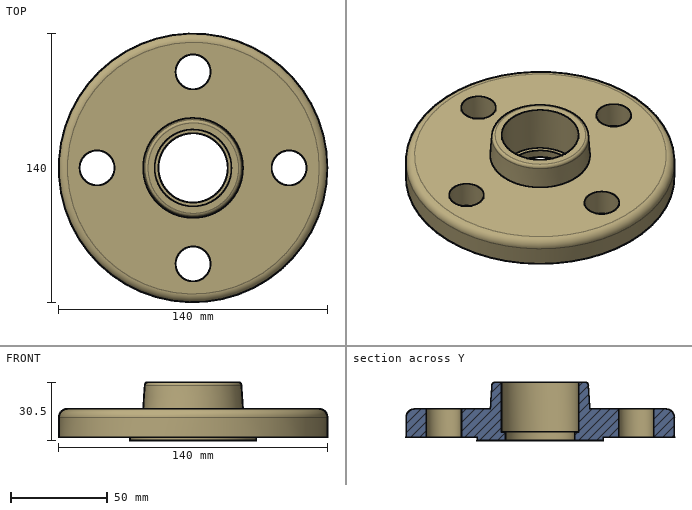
import cadquery as cq

flange_diameter = 140
total_height = 30.5
face_diameter = 66.0
face_height = 1.7
flange_thickness = 15.0
flange_edge_radius = 4.5

hub_base_diameter = 52.1
hub_top_diameter = 50.3
hub_rim_radius = 1.7

bore_diameter = 36.0
socket_diameter = 40.0
socket_depth = 25.9

bolt_hole_diameter = 18.0
bolt_circle_diameter = 100.0
bolt_count = 4

flange_top = face_height + flange_thickness


def cylinder(diameter, bottom, height):
    return cq.Workplane("XY").workplane(offset=bottom).circle(diameter / 2).extrude(height)


def make_flange():
    disc = cylinder(flange_diameter, face_height, flange_thickness)
    disc = disc.faces(">Z").edges().fillet(flange_edge_radius)
    return disc.union(cylinder(face_diameter, 0, flange_top))


def make_hub():
    profile = [
        (0, face_height),
        (hub_base_diameter / 2, face_height),
        (hub_base_diameter / 2, flange_top),
        (hub_top_diameter / 2, total_height),
        (0, total_height),
    ]
    hub = cq.Workplane("XZ").polyline(profile).close().revolve(360, (0, 0), (0, 1))
    return hub.faces(">Z").edges().fillet(hub_rim_radius)


def make_bolt_holes():
    return (
        cq.Workplane("XY")
        .polarArray(bolt_circle_diameter / 2, 0, 360, bolt_count)
        .circle(bolt_hole_diameter / 2)
        .extrude(total_height)
    )


bore = cylinder(bore_diameter, 0, total_height)
socket = cylinder(socket_diameter, total_height - socket_depth, socket_depth)

result = make_flange().union(make_hub()).cut(bore).cut(socket).cut(make_bolt_holes())